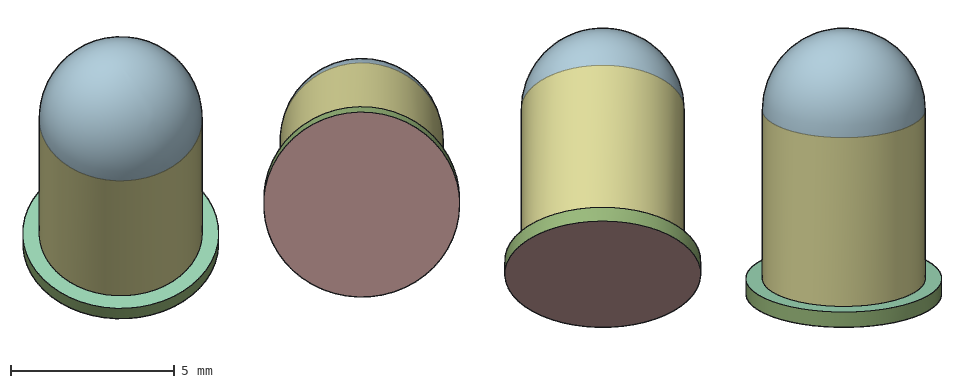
import cadquery as cq

total_height = 8.5
body_diameter = 5.0
flange_diameter = 6.0
flange_thickness = 0.5

body_radius = body_diameter / 2
dome_base_height = total_height - body_radius

flange = cq.Workplane("XY").circle(flange_diameter / 2).extrude(flange_thickness)

arc_offset = body_radius * 0.5 ** 0.5
domed_body = (
    cq.Workplane("XZ")
    .lineTo(body_radius, 0)
    .lineTo(body_radius, dome_base_height)
    .threePointArc((arc_offset, dome_base_height + arc_offset), (0, total_height))
    .close()
    .revolve(360, (0, 0, 0), (0, 1, 0))
)

result = flange.union(domed_body)